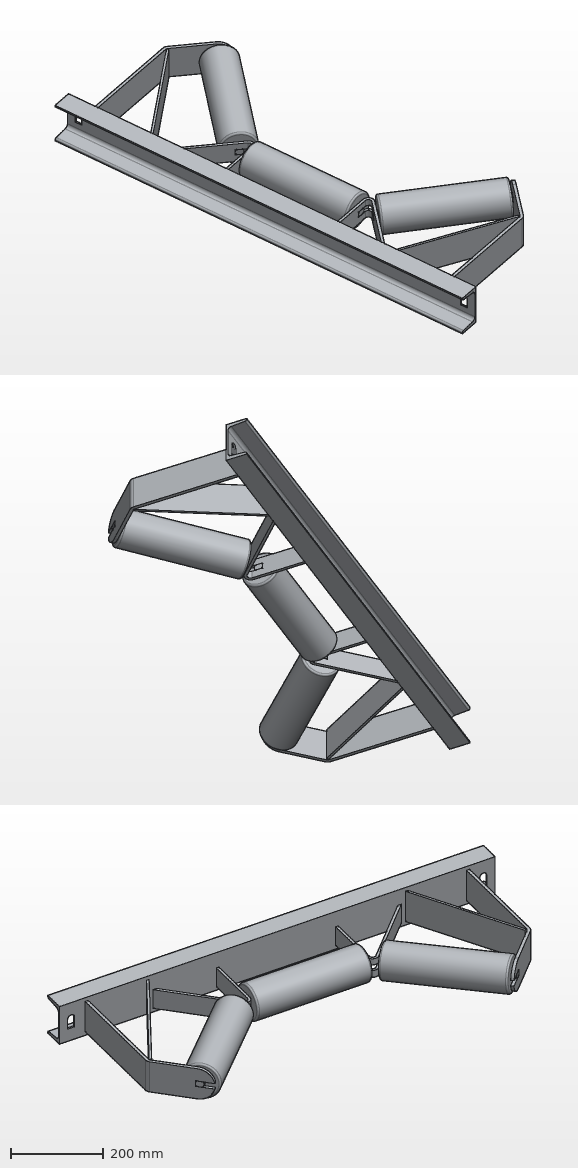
import cadquery as cq
import math


length = 1100.0
channel_height = 100.0
flange_width = 50.0
web = 4.0
flange_root = 10.0
flange_tip = 7.0
root_radius = 9.0
tip_radius = 4.0
slot_width = 18.0
slot_height = 34.0
slot_from_end = 30.0

plate_height = 80.0
inner_height = 50.0
outer_plate = 8.0
inner_plate = 7.0
brace_plate = 5.0
bend_radius = 14.0
outer_face_x = 485.0
outer_bend_y = 262.0
outer_tip_y = 370.0
brace_foot_x = 323.0
inner_face_x = 147.0
inner_foot_x = 314.0

roller_diameter = 89.0
roller_length = 290.0
roller_edge = 4.0
shaft_diameter = 20.0
shaft_flats = 14.0
middle_y = 117.0
inner_seat_z = -14.0
wing_seat_x = 402.0
wing_seat_z = 0.0
wing_slot_length = 60.0
middle_slot_length = 55.0
cut_margin = 5.0

diag = math.sqrt(0.5)
half_bend = math.radians(22.5)
tan_half_bend = math.tan(half_bend)
plate_bottom = -plate_height / 2
shaft_radius = shaft_diameter / 2

outer_face_offset = outer_bend_y + outer_face_x
wing_span = (outer_face_offset - inner_foot_x) * diag + inner_plate
wing_start = cq.Vector(-wing_seat_x, outer_face_offset - wing_seat_x, wing_seat_z)
wing_axis = cq.Vector(wing_span * diag, -wing_span * diag, inner_seat_z - wing_seat_z)
wing_shaft_length = wing_axis.Length
wing_plane = cq.Plane(
    origin=(wing_start + wing_axis * 0.5).toTuple(), xDir=(1, 1, 0), normal=wing_axis.toTuple()
)
middle_plane = cq.Plane(origin=(0, middle_y, inner_seat_z), xDir=(0, 1, 0), normal=(1, 0, 0))
middle_shaft_length = 2 * (inner_face_x + inner_plate)


def upright(outline, height):
    """Extrude a plan outline up from the common bottom of the plates."""
    return outline.extrude(height).translate((0, 0, plate_bottom))


def centred_bar(outline_plane, diameter, bar_length):
    """A round bar centred on the origin of its plane."""
    plane = cq.Workplane(outline_plane).workplane(offset=-bar_length / 2)
    return plane.circle(diameter / 2).extrude(bar_length)


def edge_near(x, y, z):
    return cq.selectors.NearestToPointSelector((x, y, z))


def make_channel():
    half = channel_height / 2
    section = [
        (0, -half),
        (-flange_width, -half),
        (-flange_width, -half + flange_tip),
        (-web, -half + flange_root),
        (-web, half - flange_root),
        (-flange_width, half - flange_tip),
        (-flange_width, half),
        (0, half),
    ]
    channel = cq.Workplane("YZ").workplane(offset=-length / 2).polyline(section).close().extrude(length)
    for side in (-1, 1):
        channel = channel.edges(edge_near(0, -web, side * (half - flange_root))).fillet(root_radius)
        channel = channel.edges(edge_near(0, -flange_width, side * (half - flange_tip))).fillet(tip_radius)
    for side in (-1, 1):
        channel = channel.cut(mounting_slot(side * (length / 2 - slot_from_end)))
    return channel


def mounting_slot(x):
    """Slot through the web with a flat bottom and a round top."""
    radius = slot_width / 2
    top = slot_height / 2
    return (
        cq.Workplane("XZ")
        .moveTo(x - radius, -top)
        .lineTo(x + radius, -top)
        .lineTo(x + radius, top - radius)
        .threePointArc((x, top), (x - radius, top - radius))
        .close()
        .extrude(web + cut_margin, both=True)
    )


def make_outer_bracket():
    """Left post that bends inward by 45 degrees and ends in a half circle."""
    outer_x = -outer_face_x
    inner_x = outer_x + outer_plate
    inner_bend_y = outer_bend_y - outer_plate * tan_half_bend
    rise = outer_tip_y - outer_bend_y
    tip_x = outer_x + rise
    tip_step = outer_plate * diag
    plan = cq.Workplane("XY").polyline([
        (outer_x, 0),
        (outer_x, outer_bend_y),
        (tip_x, outer_tip_y),
        (tip_x + tip_step, outer_tip_y - tip_step),
        (inner_x, inner_bend_y),
        (inner_x, 0),
    ]).close()
    bracket = upright(plan, plate_height)
    bracket = bracket.edges(edge_near(outer_x, outer_bend_y, 0)).fillet(bend_radius)
    bracket = bracket.edges(edge_near(inner_x, inner_bend_y, 0)).fillet(bend_radius - outer_plate)

    end_radius = plate_height / 2
    reach = rise / diag
    sloping_face = cq.Plane(origin=(outer_x, outer_bend_y, 0), xDir=(1, 1, 0), normal=(1, -1, 0))
    rounded_end = (
        cq.Workplane(sloping_face)
        .moveTo(-length, -end_radius)
        .lineTo(reach - end_radius, -end_radius)
        .threePointArc((reach, 0), (reach - end_radius, end_radius))
        .lineTo(-length, end_radius)
        .close()
        .extrude(length, both=True)
    )
    return bracket.intersect(rounded_end)


def make_brace():
    """Straight plate from the bend of the left post down to the web."""
    top_x = -outer_face_x + outer_plate
    top_y = outer_bend_y - outer_plate * tan_half_bend
    lean = math.atan2(-brace_foot_x - top_x, top_y)
    width = brace_plate / math.cos(lean)
    plan = cq.Workplane("XY").polyline([
        (top_x, top_y),
        (-brace_foot_x - width, 0),
        (-brace_foot_x, 0),
        (top_x + width, top_y),
    ]).close()
    return upright(plan, plate_height)


def make_inner_bracket():
    """Left plate with a vertical leg and a 45 degree leg joined by a round bend."""
    face_x = -inner_face_x
    back_x = face_x - inner_plate
    centre_x = face_x - bend_radius
    centre_y = inner_foot_x + face_x - bend_radius / tan_half_bend
    inside_radius = bend_radius - inner_plate

    def on_bend(radius, angle):
        return (centre_x + radius * math.cos(angle), centre_y + radius * math.sin(angle))

    bend_middle = 3 * half_bend
    bend_end = 6 * half_bend
    plan = (
        cq.Workplane("XY")
        .moveTo(face_x, 0)
        .lineTo(face_x, centre_y)
        .threePointArc(on_bend(bend_radius, bend_middle), on_bend(bend_radius, bend_end))
        .lineTo(-inner_foot_x, 0)
        .lineTo(-inner_foot_x + inner_plate / diag, 0)
        .lineTo(*on_bend(inside_radius, bend_end))
        .threePointArc(on_bend(inside_radius, bend_middle), on_bend(inside_radius, 0))
        .lineTo(back_x, 0)
        .close()
    )
    return upright(plan, inner_height)


def shaft_slot(plane, slot_length, shaft_length):
    """Open slot that holds the flats at both ends of a shaft."""
    return (
        cq.Workplane(plane)
        .center(slot_length / 2 - shaft_radius, 0)
        .rect(slot_length, shaft_flats)
        .extrude(shaft_length / 2 + cut_margin, both=True)
    )


def make_frame():
    left = make_outer_bracket().union(make_brace()).union(make_inner_bracket())
    left = left.cut(shaft_slot(wing_plane, wing_slot_length, wing_shaft_length))
    left = left.cut(shaft_slot(middle_plane, middle_slot_length, middle_shaft_length))
    return make_channel().union(left).union(left.mirror("YZ"))


def make_roller(plane):
    """Roller with rounded ends, bored for its shaft."""
    roller = centred_bar(plane, roller_diameter, roller_length).edges("%CIRCLE").fillet(roller_edge)
    return roller.cut(centred_bar(plane, shaft_diameter, roller_length + cut_margin))


def make_shaft(plane, shaft_length):
    """Round shaft with two flats on the ends that stand out of the roller."""
    flats = cq.Workplane(plane).rect(2 * shaft_diameter, shaft_flats).extrude(shaft_length, both=True)
    flat_ends = centred_bar(plane, shaft_diameter, shaft_length).intersect(flats)
    return flat_ends.union(centred_bar(plane, shaft_diameter, roller_length))


frame = make_frame()
bodies = [frame.val()]

middle_roller = make_roller(middle_plane)
middle_shaft = make_shaft(middle_plane, middle_shaft_length)
bodies += [middle_roller.val(), middle_shaft.val()]

for wing_body in (make_roller(wing_plane), make_shaft(wing_plane, wing_shaft_length)):
    bodies += [wing_body.val(), wing_body.mirror("YZ").val()]

result = cq.Compound.makeCompound(bodies)